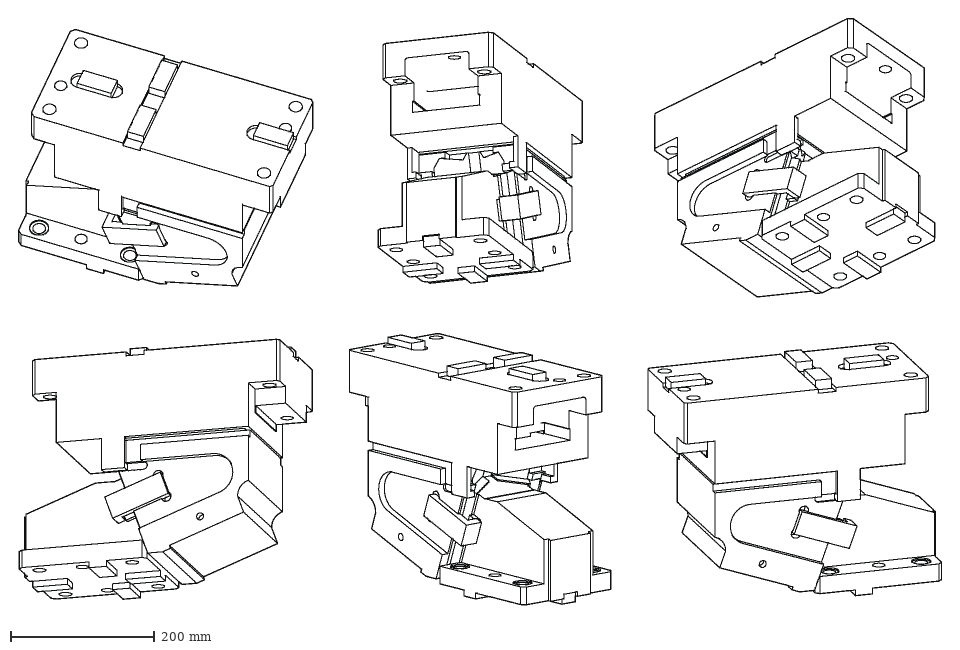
import cadquery as cq
import math


total_length = 385.0
total_height = 318.0
total_width = 165.0
half_width = total_width / 2
key_proud = 8.5
key_width = 24.5
key_length = 51.0
corner_chamfer = 5.8

incline = math.radians(20)
vee_angle = math.radians(30)
slideway_x = 198.5
vee_outer_y = 69.0
vee_flat_y = 7.7
groove_floor_rise = 30.8
groove_length = 231.0


def vee_depth(y):
    """Depth of the vee, square to the cam's front face, at a distance y from the middle."""
    return (vee_outer_y - y) * math.tan(vee_angle)


def incline_point(depth, rise):
    """X and Z of a point given square to the cam's front face and up along it."""
    x = slideway_x + depth * math.cos(incline) - rise * math.sin(incline)
    z = depth * math.sin(incline) + rise * math.cos(incline)
    return (x, z)


def front_x(z, depth=0.0):
    """X of the cam's front face, or of a plane at a depth behind it, at height z."""
    return slideway_x + depth / math.cos(incline) - z * math.tan(incline)


def slideway_plane(rise):
    """Section square to the slideway: local x is depth, local y is Y."""
    x, z = incline_point(0, rise)
    return cq.Plane(
        origin=(x, 0, z),
        xDir=(math.cos(incline), 0, math.sin(incline)),
        normal=(-math.sin(incline), 0, math.cos(incline)),
    )


wide = 231.0


def box(x0, x1, y0, y1, z0, z1):
    return cq.Workplane("XY").box(x1 - x0, y1 - y0, z1 - z0, centered=False).translate((x0, y0, z0))


def mid_box(x0, x1, half, z0, z1):
    return box(x0, x1, -half, half, z0, z1)


def side_boxes(x0, x1, y0, y1, z0, z1):
    """The same box on both sides of the middle plane."""
    return box(x0, x1, y0, y1, z0, z1).union(box(x0, x1, -y1, -y0, z0, z1))


def side_profile(points, half):
    """An XZ outline extruded equally to both sides."""
    return cq.Workplane("XZ").polyline(points).close().extrude(half, both=True)


def both_sides(solid):
    return solid.union(solid.mirror("XZ"))


def drill(points, diameter, z0, z1):
    return cq.Workplane("XY").workplane(offset=z0).pushPoints(points).circle(diameter / 2).extrude(z1 - z0)


plate_left = 23.5
plate_top = total_height - key_proud
plate_left_bottom = 259.0
plate_right_bottom = 249.5
plate_right_chamfer = 4.0
stem_left = 60.0
stem_right = 340.5
stem_bottom = 186.5
leg_left = 126.0
leg_right = 159.8
leg_bottom = 141.3
leg_inner_y = 76.0
lip_top = 150.0
lip_inner_y = 69.5
tab_half = 50.0
tab_bottom = 225.2
pad_right = 341.5
pad_bottom = 215.2

window_half = 47.7
window_bottom = 216.5
window_top = 285.0
window_end = 115.5
window_fillet = 4.2
window_foot_half = 50.0
window_foot_top = 232.5
deep_pocket_end = 154.0
deep_pocket_bottom = 261.8
deep_pocket_corner = 23.0
slot_inner_y = 24.0
slot_top = 221.0

bolt_diameter = 18.5
bolt_y = 62.8
bolt_left_x = 45.0
bolt_right_x = 365.5
dowel_diameter = 17.0
dowel_left_y = -18.0
dowel_right_y = 22.5

keyway_bottom = 303.8
keyway_width = 25.5
left_keyway = (54.3, 129.7)
left_key_x = 67.5
right_keyway_left = 317.0
right_key_x = 330.5
cross_keyway = (162.0, 188.0)
cross_key = (163.2, 187.0)
cross_key_y = 17.0

wear_plate_left = 150.5
wear_plate_right = 332.5
cam_top = 183.3
cam_upper_half = 74.3


def holder_block():
    plate = mid_box(plate_left, total_length, half_width, plate_right_bottom, plate_top)
    plate = plate.cut(mid_box(plate_left, stem_left, wide, plate_right_bottom, plate_left_bottom))
    plate = plate.edges("|Z and <X").chamfer(corner_chamfer)
    plate = plate.edges("|Z and >X").chamfer(plate_right_chamfer)
    stem = mid_box(stem_left, stem_right, half_width, stem_bottom, plate_top)
    tab = mid_box(stem_right, total_length, tab_half, tab_bottom, plate_right_bottom)
    pad = mid_box(stem_right, pad_right, tab_half, pad_bottom, tab_bottom)
    legs = side_boxes(leg_left, leg_right, leg_inner_y, half_width, leg_bottom, stem_bottom)
    lips = side_boxes(leg_left, leg_right, lip_inner_y, half_width, leg_bottom, lip_top)
    wear_plate = mid_box(wear_plate_left, wear_plate_right, cam_upper_half, cam_top, stem_bottom)
    block = plate.union(stem).union(tab).union(pad)
    return block.union(legs).union(lips).union(wear_plate)


def window():
    """Opening in the left end, with a deeper round-cornered pocket and two floor slots."""
    mouth = mid_box(0, window_end, window_half, window_bottom, deep_pocket_bottom)
    mouth = mouth.edges("|Z and >X").fillet(window_fillet)
    foot = mid_box(0, window_end, window_foot_half, window_bottom, window_foot_top)
    deep = mid_box(0, deep_pocket_end, window_half, deep_pocket_bottom, window_top)
    deep = deep.edges("|Z and >X").fillet(deep_pocket_corner)
    deep = deep.edges(">Z and (not <X)").fillet(window_fillet)
    slots = side_boxes(stem_left, deep_pocket_end, slot_inner_y, window_half, window_bottom, slot_top)
    return mouth.union(foot).union(deep).union(slots)


def round_keyway(x0, x1):
    length = x1 - x0
    return (
        cq.Workplane("XY").workplane(offset=keyway_bottom)
        .center((x0 + x1) / 2, 0).slot2D(length, keyway_width).extrude(key_proud)
    )


def make_holder():
    right_keyway = round_keyway(right_keyway_left, total_length + keyway_width)
    cross = mid_box(*cross_keyway, wide, keyway_bottom, total_height)
    bolts = [(x, y) for x in (bolt_left_x, bolt_right_x) for y in (-bolt_y, bolt_y)]
    dowels = [(bolt_left_x, dowel_left_y), (bolt_right_x, dowel_right_y)]
    holder = holder_block().cut(window())
    holder = holder.cut(round_keyway(*left_keyway)).cut(right_keyway).cut(cross)
    holder = holder.cut(drill(bolts, bolt_diameter, tab_bottom, total_height))
    holder = holder.cut(drill(dowels, dowel_diameter, tab_bottom, total_height))
    for x in (left_key_x, right_key_x):
        holder = holder.union(mid_box(x, x + key_length, key_width / 2, keyway_bottom, total_height))
    cross_keys = side_boxes(*cross_key, cross_key_y, cross_key_y + key_length, keyway_bottom, total_height)
    return holder.union(cross_keys)


cam_right = stem_right
cam_bottom = 14.2
cam_shoulder = 173.2
cam_step_x = 183.3
front_ledge = 153.5
upper_front_x = wear_plate_left
upper_chamfer = 1.0
heel_x = 215.2
heel_rise = 7.7
underside_rise = 12.5
heel_depth = 32.7
toe_depth = 148.0
toe_height = 25.5
toe_arc_end = 107.8
toe_arc_height = 4.5

lip_groove_end = 189.5
lip_groove_bottom = 139.8
lip_groove_top = 151.0
lip_groove_fillet = 5.5

pocket_floor_y = 72.5
pocket_radius = 29.3
pocket_centre_x = 288.5

vee_narrowing = 144.0
vee_upper_half = 52.5
vee_roof = 174.0
notch_half = 35.8
notch_end = 168.2

pin_hole = (270.0, 61.2)
pin_hole_diameter = 10.0
pin_hole_depth = 11.5
pin_hole_point = 3.0

retainer_rise = 85.0
retainer_height = 34.0
retainer_outer_y = 80.5
retainer_front = -29.5
retainer_back = 56.5
hook_back = -18.5
hook_tip_y = 52.7
relief_radius = 7.0
relief_offset = 5.8
relief_floor_y = 56.0


def cam_outline():
    bottom_left = (front_x(cam_bottom), cam_bottom)
    underside_start = incline_point(heel_depth, underside_rise)
    return (
        cq.Workplane("XZ")
        .moveTo(*bottom_left)
        .lineTo(heel_x, cam_bottom)
        .lineTo(*incline_point(heel_depth, heel_rise))
        .lineTo(*underside_start)
        .lineTo(*incline_point(toe_depth, underside_rise))
        .lineTo(*incline_point(toe_depth, underside_rise + toe_height))
        .sagittaArc((cam_right, toe_arc_end), toe_arc_height)
        .lineTo(cam_right, cam_top)
        .lineTo(upper_front_x, cam_top)
        .lineTo(upper_front_x, front_ledge)
        .lineTo(front_x(front_ledge), front_ledge)
        .close()
        .extrude(half_width, both=True)
    )


def vee_groove():
    """Groove for the base's ridge; above the roof only its middle breaks through."""
    flat_depth = vee_depth(vee_flat_y)
    groove = (
        cq.Workplane(slideway_plane(groove_floor_rise))
        .moveTo(0, -vee_outer_y)
        .lineTo(flat_depth, -vee_flat_y)
        .lineTo(flat_depth, vee_flat_y)
        .lineTo(0, vee_outer_y)
        .close().extrude(groove_length)
    )
    lower = mid_box(0, total_length, wide, 0, vee_narrowing)
    upper = mid_box(0, total_length, vee_upper_half, vee_narrowing, vee_roof)
    middle = mid_box(0, total_length, notch_half, vee_roof, total_height)
    notch = mid_box(0, notch_end, notch_half, vee_roof, total_height)
    return groove.intersect(lower.union(upper).union(middle)).union(notch)


def side_pocket():
    """Tapering recess with a round right end, cut into one side."""
    centre_z = lip_groove_top - pocket_radius
    tangent_x = pocket_centre_x + pocket_radius * math.sin(incline)
    tangent_z = centre_z - pocket_radius * math.cos(incline)
    left_x = leg_left
    left_z = tangent_z - (tangent_x - left_x) * math.tan(incline)
    return (
        cq.Workplane("XZ", origin=(0, -pocket_floor_y, 0))
        .moveTo(left_x, lip_groove_top)
        .lineTo(pocket_centre_x, lip_groove_top)
        .threePointArc((pocket_centre_x + pocket_radius, centre_z), (tangent_x, tangent_z))
        .lineTo(left_x, left_z)
        .close().extrude(wide)
    )


def lip_groove():
    groove = box(0, lip_groove_end, -wide, -vee_outer_y, lip_groove_bottom, lip_groove_top)
    return groove.edges("|Y and >X").fillet(lip_groove_fillet)


def corner_reliefs():
    """Round reliefs at the two back corners of one retainer."""
    low = incline_point(retainer_back - relief_offset, retainer_rise)
    high = incline_point(retainer_back - relief_offset, retainer_rise + retainer_height)
    return (
        cq.Workplane("XZ", origin=(0, -relief_floor_y, 0))
        .pushPoints([low, high]).circle(relief_radius).extrude(wide)
    )


def retainer():
    """Block on the -Y side whose front end turns inward as a hook."""
    section = [
        (retainer_front, -retainer_outer_y),
        (retainer_back, -retainer_outer_y),
        (retainer_back, -vee_outer_y),
        (hook_back, -vee_outer_y),
        (hook_back, -hook_tip_y),
        (retainer_front, -hook_tip_y),
    ]
    return cq.Workplane(slideway_plane(retainer_rise)).polyline(section).close().extrude(retainer_height)


def drilled_pin_hole():
    """Blind hole with a conical bottom in the -Y side."""
    x, z = pin_hole
    radius = pin_hole_diameter / 2
    inward = cq.Vector(0, 1, 0)
    bore = cq.Solid.makeCylinder(radius, pin_hole_depth, cq.Vector(x, -half_width, z), inward)
    point_start = cq.Vector(x, pin_hole_depth - half_width, z)
    point = cq.Solid.makeCone(radius, 0, pin_hole_point, point_start, inward)
    return cq.Workplane(bore).union(cq.Workplane(point))


def make_cam():
    top_front_edge = cq.selectors.NearestToPointSelector((upper_front_x, 0, cam_top))
    cam = cam_outline().edges("|Y").edges(top_front_edge).chamfer(upper_chamfer)
    cam = cam.cut(side_boxes(0, cam_step_x, cam_upper_half, wide, lip_groove_top, total_height))
    cam = cam.cut(side_boxes(0, total_length, cam_upper_half, wide, cam_shoulder, total_height))
    for recess in (side_pocket(), lip_groove(), corner_reliefs(), drilled_pin_hole()):
        cam = cam.cut(both_sides(recess))
    return cam.cut(vee_groove()).union(both_sides(retainer()))


foot_left = 4.2
foot_right = 191.0
foot_top = 34.0
foot_clearance = 0.8
base_half = 44.5
nose_half = 36.5
nose_top = 95.5
body_top = 134.0
body_top_left = (body_top - nose_top) / math.tan(incline)
body_top_right = 132.5
guide_top_rise = 148.0
guide_plate_rise = 149.8
guide_plate_thickness = 12.5
flange_tip_y = 55.0
flange_tip_depth = vee_depth(flange_tip_y)
flange_root_y = flange_tip_y - guide_plate_thickness * math.sin(vee_angle)
flange_back = flange_tip_depth - guide_plate_thickness * math.cos(vee_angle)
rib_front = -18.0
rib_outer_y = 52.5
rib_height = 30.0

foot_bolt_diameter = 17.7
foot_bolt_x = (29.5, 165.0)
counterbore_diameter = 26.5
counterbore_depth = 2.0
foot_dowel = (91.5, 61.0)
base_cross_key = (107.8, 133.2)
base_key_x = (foot_left, 140.0)
nose_slot_top = 15.0


def clear_of_cam():
    """Everything on the base's side of the cam's front face, less a small gap."""
    corners = [
        (0, 0),
        (front_x(0, -foot_clearance), 0),
        (front_x(total_height, -foot_clearance), total_height),
        (0, total_height),
    ]
    return side_profile(corners, half_width)


def base_body():
    slope = math.tan(incline)
    nose_join = nose_top + foot_left * slope
    guide_end = incline_point(flange_back, guide_top_rise)
    dip_z = guide_end[1] - (guide_end[0] - body_top_right) * slope
    body = side_profile(
        [
            (foot_left, key_proud),
            (front_x(key_proud, flange_back), key_proud),
            guide_end,
            (body_top_right, dip_z),
            (body_top_right, body_top),
            (body_top_left, body_top),
            (foot_left, nose_join),
        ],
        base_half,
    ).intersect(mid_box(0, foot_right, wide, 0, total_height))
    nose = side_profile(
        [(0, key_proud), (foot_left, key_proud), (foot_left, nose_join), (0, nose_top)], nose_half
    )
    slot = mid_box(0, foot_left, key_width / 2, 0, nose_slot_top)
    return body.union(nose.cut(slot))


def foot():
    plate = mid_box(foot_left, foot_right, half_width, key_proud, foot_top)
    plate = plate.edges("|Z").chamfer(corner_chamfer)
    plate = plate.intersect(clear_of_cam())
    bolts = [(x, y) for x in foot_bolt_x for y in (-bolt_y, bolt_y)]
    dowels = [(foot_dowel[0], y) for y in (-foot_dowel[1], foot_dowel[1])]
    plate = plate.cut(drill(bolts, foot_bolt_diameter, 0, foot_top))
    plate = plate.cut(drill(bolts, counterbore_diameter, foot_top - counterbore_depth, foot_top))
    return plate.cut(drill(dowels, dowel_diameter, 0, foot_top))


def guide_ridge():
    """Vee ridge that fills the cam's groove; its guide plates stand proud at the top."""
    vee_peak = (vee_depth(vee_flat_y), -vee_flat_y)
    plate_peak = (vee_peak[0] - guide_plate_thickness / math.cos(vee_angle), -vee_flat_y)
    near_side = [(flange_back, -flange_root_y), (flange_tip_depth, -flange_tip_y), vee_peak]
    far_side = [(depth, -y) for depth, y in reversed(near_side)]
    base_plane = slideway_plane(groove_floor_rise)
    ridge_height = guide_top_rise - groove_floor_rise
    plate_height = guide_plate_rise - groove_floor_rise
    ridge = cq.Workplane(base_plane).polyline(near_side + far_side).close().extrude(ridge_height)
    plate = cq.Workplane(base_plane).polyline(near_side + [plate_peak]).close().extrude(plate_height)
    return ridge.union(both_sides(plate))


def hook_ribs():
    """Ribs behind the guide flange that the cam's hooks reach around."""
    rib_plane = slideway_plane(retainer_rise)
    section = [
        (rib_front, -rib_outer_y),
        (flange_back, -rib_outer_y),
        (flange_back, -base_half),
        (rib_front, -base_half),
    ]
    return both_sides(cq.Workplane(rib_plane).polyline(section).close().extrude(rib_height))


def make_base():
    base = base_body().union(foot()).union(guide_ridge()).union(hook_ribs())
    for x in base_key_x:
        base = base.union(mid_box(x, x + key_length, key_width / 2, 0, key_proud))
    cross_keys = side_boxes(*base_cross_key, half_width - key_length, half_width, 0, key_proud)
    return base.union(cross_keys)


holder = make_holder()
cam = make_cam()
base = make_base()

result = cq.Compound.makeCompound([holder.solids().val(), cam.solids().val(), base.solids().val()])